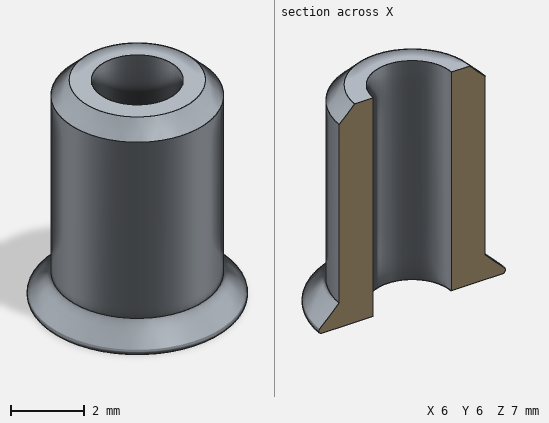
import cadquery as cq
import math

height = 7.0
body_diameter = 4.7
bore_diameter = 2.5
flange_diameter = 6.0

tip_chamfer = 0.5
rim_rounding = 0.105
flare_angle = math.radians(45)

body_radius = body_diameter / 2
flange_radius = flange_diameter / 2

rim_center_radius = flange_radius - rim_rounding
rim_top_radius = rim_center_radius + rim_rounding * math.cos(flare_angle)
rim_top = rim_rounding * (1 + math.sin(flare_angle))
flare_top = rim_top + (rim_top_radius - body_radius) * math.tan(flare_angle)


def make_sleeve():
    """Revolve the solid outer shape: flared foot, straight body, chamfered tip."""
    return (
        cq.Workplane("XZ")
        .lineTo(rim_center_radius, 0)
        .threePointArc((flange_radius, rim_rounding), (rim_top_radius, rim_top))
        .lineTo(body_radius, flare_top)
        .lineTo(body_radius, height - tip_chamfer)
        .lineTo(body_radius - tip_chamfer, height)
        .lineTo(0, height)
        .close()
        .revolve(360, (0, 0, 0), (0, 1, 0))
    )


def make_bore():
    """Straight hole through the full height."""
    return cq.Workplane("XY").circle(bore_diameter / 2).extrude(height)


result = make_sleeve().cut(make_bore())